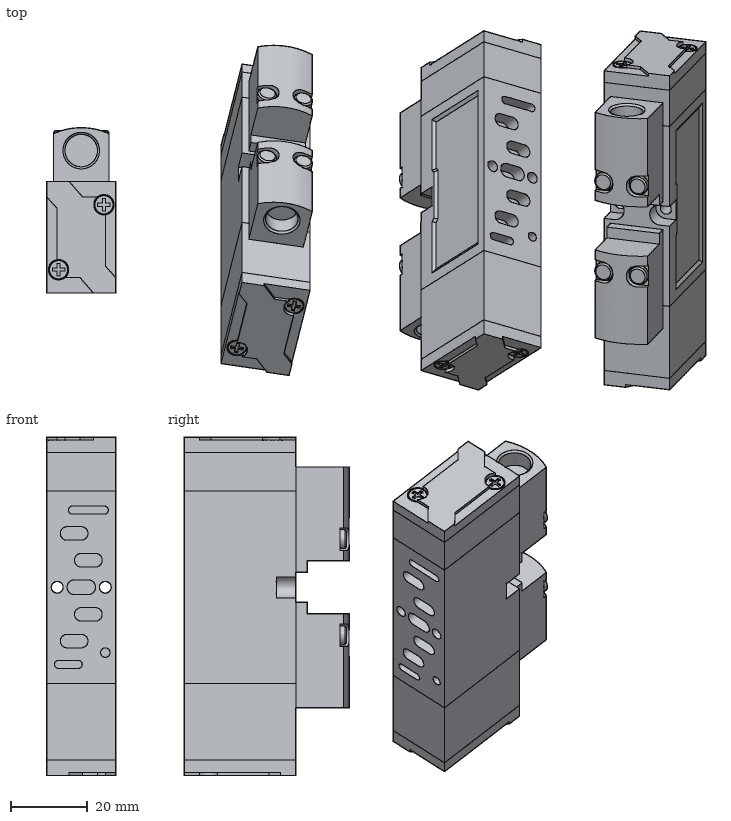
import cadquery as cq
import math


WIDTH = 18.0
DEPTH = 29.0
BODY_HEIGHT = 50.0
UPPER_SPACER_HEIGHT = 10.0
LOWER_SPACER_HEIGHT = 20.0
TOTAL_HEIGHT = 88.0
CAP_HEIGHT = (TOTAL_HEIGHT - BODY_HEIGHT - UPPER_SPACER_HEIGHT - LOWER_SPACER_HEIGHT) / 2
BODY_TOP = BODY_HEIGHT / 2
UPPER_CAP_BASE = BODY_TOP + UPPER_SPACER_HEIGHT
LOWER_CAP_BASE = -BODY_TOP - LOWER_SPACER_HEIGHT

PORT_LENGTH = 7.2
PORT_HEIGHT = 3.5
CENTRE_PORT_LENGTH = 7.4
CENTRE_PORT_HEIGHT = 3.9
LONG_PILOT_LENGTH = 10.4
PILOT_HEIGHT = 2.1
LOWER_PILOT_OFFSET = 3.3
PORT_OFFSET = 1.85
INNER_PORT_Z = 7.0
OUTER_PORT_Z = 14.0
PILOT_Z = 20.1
PORTS = [
    (PORT_OFFSET, PILOT_Z, LONG_PILOT_LENGTH, PILOT_HEIGHT),
    (-PORT_OFFSET, OUTER_PORT_Z, PORT_LENGTH, PORT_HEIGHT),
    (PORT_OFFSET, INNER_PORT_Z, PORT_LENGTH, PORT_HEIGHT),
    (0, 0, CENTRE_PORT_LENGTH, CENTRE_PORT_HEIGHT),
    (PORT_OFFSET, -INNER_PORT_Z, PORT_LENGTH, PORT_HEIGHT),
    (-PORT_OFFSET, -OUTER_PORT_Z, PORT_LENGTH, PORT_HEIGHT),
    (-LOWER_PILOT_OFFSET, -PILOT_Z, PORT_LENGTH, PILOT_HEIGHT),
]
PORT_DEPTH = 4.4

MOUNT_X = 6.25
MOUNT_DIAMETER = 3.0
NOTCH_HEIGHT = 5.5
NOTCH_DEPTH = 5.0
LOCATING_Z = -17.0
LOCATING_DIAMETER = 2.5

LABEL_FRONT = 2.6
LABEL_BACK = 23.9
LABEL_HALF_HEIGHT = 22.1
LABEL_DEPTH = 0.6
LABEL_WALL_RUN = 1.0
STEP_HALF_HEIGHT = 7.4
STEP_SIZE = 0.8
STEP_ANGLE = math.radians(45)

CORNER_DEPTH = 0.8
PANEL_SIDE_X = -6.3
PANEL_SIDE_Y = 22.1
PANEL_SIDE_EDGE_Y = 25.1
PANEL_FRONT_X = -0.35
PANEL_FRONT_Y = 4.05
PANEL_FRONT_EDGE_X = 3.2
CAP_SCREW_X = -5.9
CAP_SCREW_Y = 6.1

SCREW_HEAD_RADIUS = 2.4
SCREW_RING_RADIUS = 2.6
SCREW_RING_DEPTH = 0.35
CROSS_LENGTH = 3.3
CROSS_WIDTH = 0.8
CROSS_DEPTH = 0.4

CONNECTOR_WIDTH = 14.4
CONNECTOR_DEPTH = 14.0
CONNECTOR_TOP = 31.3
CONNECTOR_BASE = 6.9
FOOT_BASE = 3.9
FOOT_DEPTH = 3.0
CROWN_HEIGHT = 1.6
CABLE_OFFSET = 8.0
CABLE_Y = DEPTH + CABLE_OFFSET
CABLE_RADIUS = 4.2
CABLE_CHAMFER = 0.5
CABLE_DEPTH = 5.0
CONNECTOR_BACK = DEPTH + CONNECTOR_DEPTH
CONNECTOR_SCREW_Z = 12.5
CONNECTOR_SCREW_RADIUS = 2.5
SCREW_RECESS_RADIUS = 2.9
SCREW_RECESS_DEPTH = 2.5
SCREW_RECESS_FLOOR_Y = CONNECTOR_BACK - SCREW_RECESS_DEPTH
SCREW_HEAD_HEIGHT = 1.7
SCREW_HEAD_CHAMFER = 0.4


def block(base, height):
    """Block of the stack with its lower face at Z = base."""
    return cq.Workplane("XY", origin=(0, DEPTH / 2, base)).box(
        WIDTH, DEPTH, height, centered=(True, True, False)
    )


def port(x, z, length, height):
    """Blind round-ended slot in the front face."""
    return cq.Workplane("XZ").center(x, z).slot2D(length, height).extrude(-PORT_DEPTH)


def mounting_hole(side):
    """Through hole along Y, with a round-ended notch that opens to the side and the back."""
    x = side * MOUNT_X
    hole = cq.Workplane("XZ").center(x, 0).circle(MOUNT_DIAMETER / 2).extrude(-DEPTH)
    notch_plane = cq.Workplane("XZ", origin=(x, DEPTH, 0))
    notch = notch_plane.circle(NOTCH_HEIGHT / 2).extrude(NOTCH_DEPTH)
    opening = notch_plane.center(side * WIDTH / 2, 0).rect(WIDTH, NOTCH_HEIGHT).extrude(NOTCH_DEPTH)
    return hole.union(notch).union(opening)


def label_outline(x, inset):
    """Outline of the label pocket at the given X, with every edge moved inwards by inset."""
    front = LABEL_FRONT + inset
    back = LABEL_BACK - inset
    top = LABEL_HALF_HEIGHT - inset
    step = STEP_HALF_HEIGHT + inset * math.tan(STEP_ANGLE / 2)
    return [
        cq.Vector(x, y, z)
        for y, z in [
            (front, -top),
            (front, top),
            (back, top),
            (back, step),
            (back - STEP_SIZE, step - STEP_SIZE),
            (back - STEP_SIZE, STEP_SIZE - step),
            (back, -step),
            (back, -top),
        ]
    ]


def label_pocket():
    mouth = cq.Wire.makePolygon(label_outline(-WIDTH / 2, 0), close=True)
    floor = cq.Wire.makePolygon(label_outline(-WIDTH / 2 + LABEL_DEPTH, LABEL_WALL_RUN), close=True)
    return cq.Solid.makeLoft([mouth, floor], True)


def make_valve_body():
    body = block(-BODY_TOP, BODY_HEIGHT)
    for x, z, length, height in PORTS:
        body = body.cut(port(x, z, length, height))
    for side in (-1, 1):
        body = body.cut(mounting_hole(side))
    locating_hole = cq.Workplane("XZ").center(MOUNT_X, LOCATING_Z).circle(LOCATING_DIAMETER / 2)
    body = body.cut(locating_hole.extrude(-PORT_DEPTH))
    return body.cut(label_pocket())


def low_corner(cap_top):
    """Material removed at the (-X, -Y) corner of the cap, leaving the screw head standing."""
    floor = cap_top - CORNER_DEPTH
    corner = (
        cq.Workplane("XY", origin=(0, 0, floor))
        .moveTo(-WIDTH / 2, 0)
        .lineTo(PANEL_FRONT_EDGE_X, 0)
        .lineTo(PANEL_FRONT_X, PANEL_FRONT_Y)
        .lineTo(PANEL_SIDE_X, PANEL_FRONT_Y)
        .lineTo(PANEL_SIDE_X, PANEL_SIDE_Y)
        .lineTo(-WIDTH / 2, PANEL_SIDE_EDGE_Y)
        .close()
        .extrude(CORNER_DEPTH)
    )
    screw_plane = cq.Workplane("XY", origin=(CAP_SCREW_X, CAP_SCREW_Y, floor))
    clearance = screw_plane.circle(SCREW_RING_RADIUS).extrude(CORNER_DEPTH)
    ring = screw_plane.circle(SCREW_RING_RADIUS).circle(SCREW_HEAD_RADIUS).extrude(-SCREW_RING_DEPTH)
    cross = screw_plane.rect(CROSS_LENGTH, CROSS_WIDTH).extrude(-CROSS_DEPTH)
    cross = cross.union(screw_plane.rect(CROSS_WIDTH, CROSS_LENGTH).extrude(-CROSS_DEPTH))
    return corner.union(clearance).union(ring).union(cross)


def make_cap():
    """Upper cap; its two low corners repeat by a half turn about the cap's middle."""
    cap = block(UPPER_CAP_BASE, CAP_HEIGHT)
    corner = low_corner(UPPER_CAP_BASE + CAP_HEIGHT)
    for angle in (0, 180):
        cap = cap.cut(corner.rotate((0, DEPTH / 2, 0), (0, DEPTH / 2, 1), angle))
    return cap


def connector_screw_plane(side):
    """Floor of a screw recess, centred on the screw; the head is tangent to the connector's side."""
    x = side * (CONNECTOR_WIDTH / 2 - CONNECTOR_SCREW_RADIUS)
    return cq.Workplane("XZ", origin=(x, SCREW_RECESS_FLOOR_Y, CONNECTOR_SCREW_Z))


def connector_screw_recess(side):
    """Recess around the screw head, open to the side and the back."""
    plane = connector_screw_plane(side)
    recess = plane.circle(SCREW_RECESS_RADIUS).extrude(-SCREW_RECESS_DEPTH)
    opening_size = 2 * SCREW_RECESS_RADIUS
    opening = plane.center(side * opening_size / 2, 0).rect(opening_size, opening_size)
    return recess.union(opening.extrude(-SCREW_RECESS_DEPTH))


def connector_screw_head(side):
    head = connector_screw_plane(side).circle(CONNECTOR_SCREW_RADIUS).extrude(-SCREW_HEAD_HEIGHT)
    return head.faces(">Y").chamfer(SCREW_HEAD_CHAMFER)


def make_connector():
    """Upper connector, with its cable entry facing up and its foot facing down."""
    half = CONNECTOR_WIDTH / 2
    shell = (
        cq.Workplane("XY", origin=(0, 0, CONNECTOR_BASE))
        .moveTo(-half, DEPTH)
        .lineTo(half, DEPTH)
        .lineTo(half, CONNECTOR_BACK - CROWN_HEIGHT)
        .threePointArc((0, CONNECTOR_BACK), (-half, CONNECTOR_BACK - CROWN_HEIGHT))
        .close()
        .extrude(CONNECTOR_TOP - CONNECTOR_BASE)
    )
    foot = cq.Workplane("XY", origin=(0, DEPTH, FOOT_BASE)).box(
        CONNECTOR_WIDTH, FOOT_DEPTH, CONNECTOR_BASE - FOOT_BASE, centered=(True, False, False)
    )
    entry = (
        cq.Workplane("XY", origin=(0, CABLE_Y, CONNECTOR_TOP - CABLE_DEPTH))
        .circle(CABLE_RADIUS)
        .extrude(CABLE_DEPTH)
    )
    chamfer = cq.Solid.makeCone(
        CABLE_RADIUS,
        CABLE_RADIUS + CABLE_CHAMFER,
        CABLE_CHAMFER,
        cq.Vector(0, CABLE_Y, CONNECTOR_TOP - CABLE_CHAMFER),
    )
    connector = shell.union(foot).cut(entry).cut(chamfer)
    for side in (-1, 1):
        connector = connector.cut(connector_screw_recess(side)).union(connector_screw_head(side))
    return connector


valve_body = make_valve_body()
upper_spacer = block(BODY_TOP, UPPER_SPACER_HEIGHT)
lower_spacer = block(LOWER_CAP_BASE, LOWER_SPACER_HEIGHT)
upper_cap = make_cap()
lower_cap = upper_cap.rotate((0, 0, 0), (0, 1, 0), 180).translate((0, 0, LOWER_CAP_BASE + UPPER_CAP_BASE))
upper_connector = make_connector()
lower_connector = upper_connector.mirror("XY")

result = cq.Compound.makeCompound(
    [
        valve_body.val(),
        upper_spacer.val(),
        lower_spacer.val(),
        upper_cap.val(),
        lower_cap.val(),
        upper_connector.val(),
        lower_connector.val(),
    ]
)